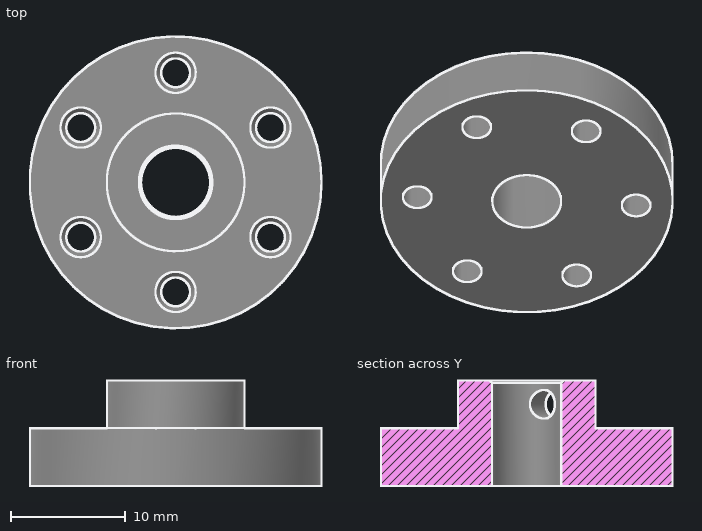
import cadquery as cq
import math

flange_diameter = 25.4
flange_thickness = 5.05
hub_diameter = 12.0
total_height = 9.2

bore_diameter = 6.0
bore_chamfer = 0.2

countersink_diameter = 3.5
countersink_angle = 90.0

hole_count = 6
first_hole_direction = 90.0
hole_circle_diameter = 19.05
hole_diameter = 2.5

screw_hole_diameter = hole_diameter
screw_hole_height = (flange_thickness + total_height) / 2
screw_hole_direction = first_hole_direction - 180.0 / hole_count


def hub_body():
    flange = cq.Workplane("XY").circle(flange_diameter / 2).extrude(flange_thickness)
    hub = cq.Workplane("XY").circle(hub_diameter / 2).extrude(total_height)
    return flange.union(hub)


def cut_bore(body):
    bored = body.faces(">Z").workplane().hole(bore_diameter)
    bore_rim = bored.faces(">Z").edges(cq.selectors.RadiusNthSelector(0))
    return bore_rim.chamfer(bore_chamfer)


def cut_mounting_holes(body):
    return (
        body.copyWorkplane(cq.Workplane("XY", origin=(0, 0, flange_thickness)))
        .polarArray(hole_circle_diameter / 2, first_hole_direction, 360, hole_count)
        .cskHole(hole_diameter, countersink_diameter, countersink_angle)
    )


def cut_screw_hole(body):
    angle = math.radians(screw_hole_direction)
    outward = cq.Vector(math.cos(angle), math.sin(angle), 0)
    entry = outward * (hub_diameter / 2) + cq.Vector(0, 0, screw_hole_height)
    entry_plane = cq.Plane(origin=entry, normal=outward)
    return (
        body.copyWorkplane(cq.Workplane(entry_plane))
        .cskHole(screw_hole_diameter, countersink_diameter, countersink_angle, depth=hub_diameter / 2)
    )


result = cut_screw_hole(cut_mounting_holes(cut_bore(hub_body())))